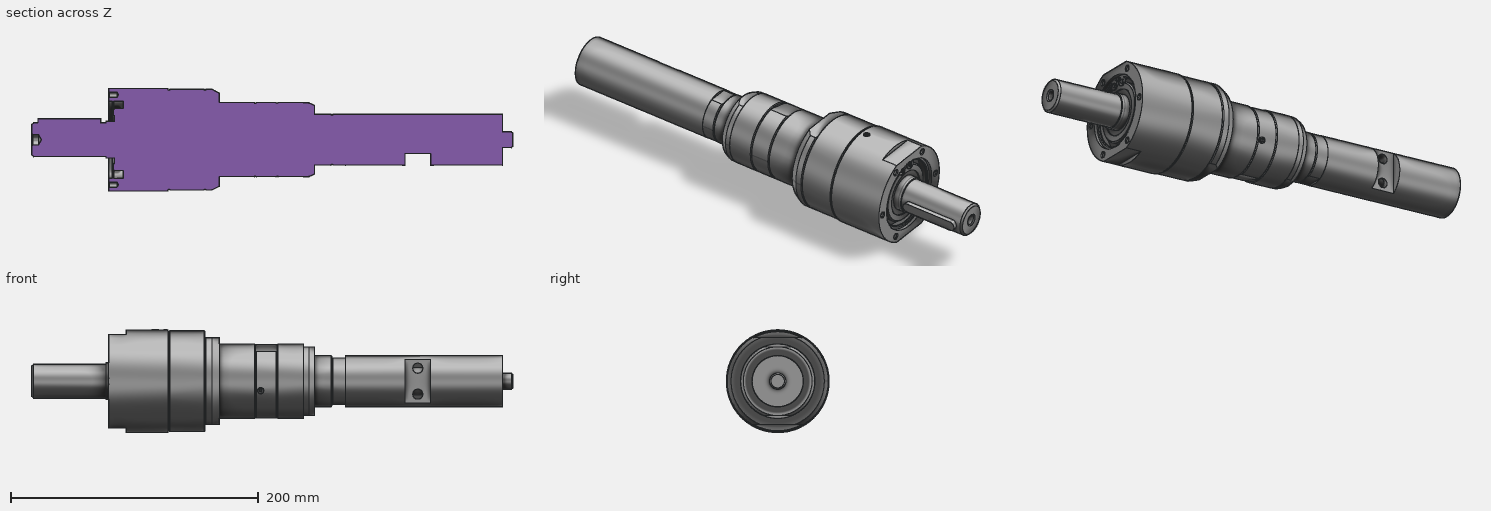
import cadquery as cq
import math

total_length = 388.0

shaft_dia = 27.5
shaft_chamfer = 1.5
collar_start, collar_dia = 59.8, 30.0
key_start, key_end = 5.0, 56.0
key_width, key_top = 8.0, 17.0
center_hole_dia, center_mouth_dia, center_hole_depth = 8.0, 10.0, 7.8
drill_tip_angle = 120.0

housing_start, housing_end, housing_dia = 62.0, 110.5, 83.0
housing_flat_end, housing_across_flats = 76.0, 75.5
bolt_count, bolt_circle_dia = 6, 72.5
bolt_hole_dia, bolt_mouth_dia, bolt_hole_depth = 4.0, 5.5, 7.8
oil_hole_x = 104.5

plug_seat_dia, plug_seat_depth = 5.0, 1.0
plug_hole_dia, plug_hole_depth = 2.5, 4.0

recess_dia, recess_depth = 62.0, 11.5
cover_dia, cover_inset, cover_chamfer = 50.5, 3.5, 1.0
seal_dia, seal_inset = 38.8, 4.5
ring_inset, ring_thickness = 2.7, 1.5
ring_bore_dia, ring_chamfer = 57.0, 0.8
lug_reach, lug_offset, lug_dia, lug_hole_dia = 25.2, 5.5, 8.0, 3.6
ring_gap_width = 4.0

cover_end, rear_cover_dia = 139.5, 81.5
nut_chamfer_start, nut_end, nut_end_dia = 145.5, 151.5, 75.3
nut_across_flats = 70.2
groove_width, groove_depth = 1.5, 0.8

neck_dia = 60.0
index_start, index_end = 180.5, 198.0
index_tilt, index_across_flats = 15.0, 55.5
index_hole_x = 184.5
neck_end = 219.2
rear_nut_dia, rear_nut_end_dia = 59.8, 55.5
rear_nut_chamfer_start, rear_nut_end = 223.5, 228.0
rear_nut_across_flats = 55.5

motor_dia = 41.5
motor_flat_start, motor_flat_end = 242.0, 253.0
motor_flat_dia, motor_across_flats = 41.0, 37.5
motor_end = 380.0
pin_dia, pin_chamfer = 13.0, 1.0
window_start, window_end, window_floor = 301.0, 321.5, 11.3
port_dia, port_offset = 8.0, 10.5
core_dia = 22.5


def flats_cut(start, end, across_flats, tilt=0.0):
    """Stock to remove for two parallel flats between start and end; tilt turns them about X."""
    stock = cq.Workplane("XY")
    size = housing_dia
    for side in (1, -1):
        block = cq.Workplane("XY").box(end - start, 2 * size, size)
        block = block.translate(((start + end) / 2, 0, side * (across_flats + size) / 2))
        stock = stock.add(block)
    return stock.combine().rotate((0, 0, 0), (1, 0, 0), tilt)


def rod(start, end, diameter):
    """Cylinder on the spindle axis."""
    return cq.Workplane("YZ", origin=(start, 0, 0)).circle(diameter / 2).extrude(end - start)


def plug_hole(x, surface_dia, turn=0.0):
    """Plugged hole pointing at the axis; turn = 0 is on top (+Z), a positive turn goes towards -Y."""
    surface = cq.Workplane("XY", origin=(x, 0, surface_dia / 2))
    seat = surface.circle(plug_seat_dia / 2).extrude(plug_seat_depth, both=True)
    hole = surface.circle(plug_hole_dia / 2).extrude(-plug_hole_depth)
    return seat.union(hole).rotate((0, 0, 0), (1, 0, 0), turn)


def drilled_hole(start, diameter, mouth_dia, depth):
    """Hole on the axis, entering at x = start, with a 45 degree mouth and a conical drill tip."""
    radius = diameter / 2
    mouth = mouth_dia / 2
    tip = radius / math.tan(math.radians(drill_tip_angle / 2))
    points = [(0, 0), (0, mouth), (mouth - radius, radius), (depth - tip, radius), (depth, 0)]
    profile = cq.Workplane("XY", origin=(start, 0, 0)).polyline(points).close()
    return profile.revolve(360, (0, 0, 0), (1, 0, 0))


def turned_body():
    """Revolved outline of the whole spindle, as (x, diameter) corners."""
    outline = [
        (0, shaft_dia - 2 * shaft_chamfer),
        (shaft_chamfer, shaft_dia),
        (collar_start, shaft_dia),
        (collar_start, collar_dia),
        (housing_start, collar_dia),
        (housing_start, housing_dia),
        (housing_end, housing_dia),
        (housing_end, rear_cover_dia),
        (nut_chamfer_start, rear_cover_dia),
        (nut_end, nut_end_dia),
        (nut_end, neck_dia),
        (neck_end, neck_dia),
        (neck_end, rear_nut_dia),
        (rear_nut_chamfer_start, rear_nut_dia),
        (rear_nut_end, rear_nut_end_dia),
        (rear_nut_end, motor_dia),
        (motor_flat_start, motor_dia),
        (motor_flat_start, motor_flat_dia),
        (motor_flat_end, motor_flat_dia),
        (motor_flat_end, motor_dia),
        (motor_end, motor_dia),
        (motor_end, pin_dia),
        (total_length - pin_chamfer, pin_dia),
        (total_length, pin_dia - 2 * pin_chamfer),
    ]
    points = [(0, 0)] + [(x, diameter / 2) for x, diameter in outline] + [(total_length, 0)]
    return cq.Workplane("XY").polyline(points).close().revolve(360, (0, 0, 0), (1, 0, 0))


def v_groove(x, diameter):
    """Small V groove around the body, centred on x."""
    radius = diameter / 2
    half = groove_width / 2
    points = [(x - half, radius), (x, radius - groove_depth), (x + half, radius),
              (x + half, radius + groove_depth), (x - half, radius + groove_depth)]
    return cq.Workplane("XY").polyline(points).close().revolve(360, (0, 0, 0), (1, 0, 0))


def shaft_key():
    """Round-ended key standing on the +Y side of the shaft."""
    length = key_end - key_start
    sketch = cq.Workplane("XZ").center((key_start + key_end) / 2, 0).slot2D(length, key_width)
    return sketch.extrude(-key_top)


def front_recess():
    """Annular recess around the bearing cover, with a shallow seal pocket in the cover."""
    floor = housing_start + recess_depth
    recess = rod(housing_start, floor, recess_dia)
    cover = rod(housing_start + cover_inset, floor, cover_dia).faces("<X").chamfer(cover_chamfer)
    recess = recess.cut(cover)
    recess = recess.union(rod(housing_start, housing_start + seal_inset, seal_dia))
    return recess.cut(rod(housing_start, floor, collar_dia))


def retaining_ring():
    """Open ring seated in the recess, with two drilled lugs at the top."""
    start = housing_start + ring_inset
    end = start + ring_thickness
    ring = rod(start, end, recess_dia)
    ring = ring.cut(rod(start, end, ring_bore_dia))
    ring = ring.faces("<X").edges(cq.selectors.RadiusNthSelector(0)).chamfer(ring_chamfer)
    lugs = [(side * lug_offset, lug_reach) for side in (1, -1)]
    plane = cq.Workplane("YZ", origin=(start, 0, 0))
    ring = ring.union(plane.pushPoints(lugs).circle(lug_dia / 2).extrude(ring_thickness))
    ring = ring.cut(plane.pushPoints(lugs).circle(lug_hole_dia / 2).extrude(ring_thickness))
    gap = plane.center(0, recess_dia / 2).rect(ring_gap_width, recess_dia / 2)
    return ring.cut(gap.extrude(ring_thickness))


def bolt_holes():
    """Blind holes on the front face, the first one on the +Y side."""
    hole = drilled_hole(housing_start, bolt_hole_dia, bolt_mouth_dia, bolt_hole_depth)
    hole = hole.translate((0, bolt_circle_dia / 2, 0))
    holes = cq.Workplane("XY")
    for index in range(bolt_count):
        holes = holes.add(hole.rotate((0, 0, 0), (1, 0, 0), index * 360 / bolt_count))
    return holes.combine()


def port_window():
    """Flat-bottomed window on the -Y side with two ports drilled beside the inner core."""
    length = window_end - window_start
    middle = (window_start + window_end) / 2
    window = cq.Workplane("XY").box(length, motor_dia, motor_dia)
    window = window.translate((middle, -window_floor - motor_dia / 2, 0))
    plane = cq.Workplane("XZ", origin=(middle, 0, 0))
    ports = plane.pushPoints([(0, port_offset), (0, -port_offset)]).circle(port_dia / 2)
    ports = ports.extrude(motor_dia / 2).cut(rod(window_start, window_end, core_dia))
    return window.union(ports)


body = turned_body().union(shaft_key())
body = body.cut(drilled_hole(0, center_hole_dia, center_mouth_dia, center_hole_depth))

body = body.cut(flats_cut(housing_start, housing_flat_end, housing_across_flats))
body = body.cut(front_recess()).union(retaining_ring())
body = body.cut(bolt_holes())
body = body.cut(plug_hole(oil_hole_x, housing_dia))

body = body.cut(flats_cut(cover_end, nut_end, nut_across_flats))
body = body.cut(flats_cut(index_start, index_end, index_across_flats, index_tilt))
body = body.cut(plug_hole(index_hole_x, neck_dia, 90 + index_tilt))
body = body.cut(flats_cut(neck_end, rear_nut_end, rear_nut_across_flats))
joints = [
    (housing_end, rear_cover_dia),
    (cover_end, rear_cover_dia),
    (index_start, neck_dia),
    (index_end, neck_dia),
    (motor_flat_start, motor_flat_dia),
]
for joint_x, joint_dia in joints:
    body = body.cut(v_groove(joint_x, joint_dia))

body = body.cut(flats_cut(motor_flat_start, motor_flat_end, motor_across_flats))
body = body.cut(port_window())

result = body